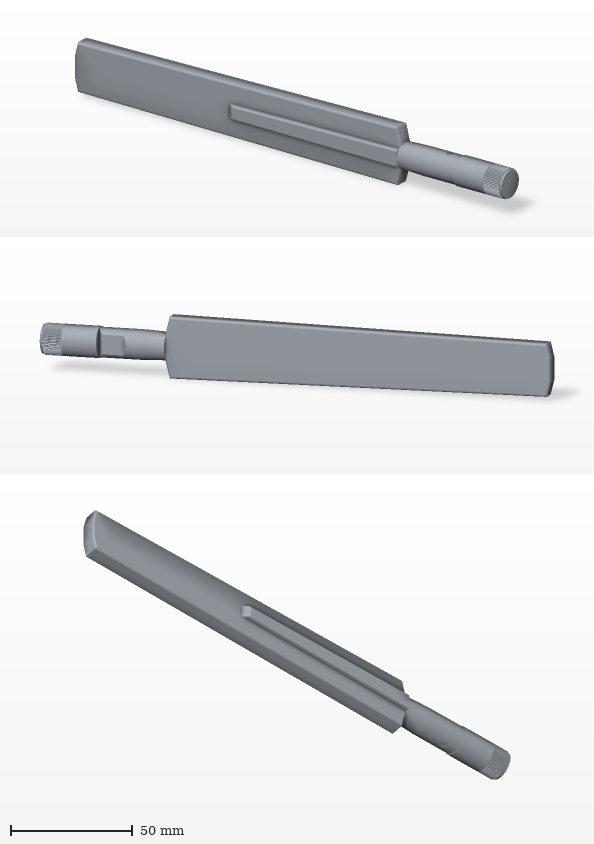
import cadquery as cq
import math

TOTAL_LENGTH = 218.4
BLADE_END_X = 165.5
SLEEVE_START_X = 165.0
CONE_END_X = 176.2
JOINT_X = 194.1

BLADE_THICKNESS = 7.2
BLADE_TIP_HALF = 11.1
BLADE_ROOT_HALF = 26.0 / 2
END_FLAT_HALF = 5.0
END_SLOPE = 0.25
BLADE_FILLET = 1.0

RIB_START_X = 78.6
RIB_FACE_Y = -6.0
RIB_TIP_HALF = 3.0
RIB_ROOT_HALF = 4.0
RIB_RAMP_LENGTH = 2.8
RIB_FILLET = 0.9

SLEEVE_START_RADIUS = 6.0
SLEEVE_RADIUS = 6.3
RELIEF_START_X = 181.2
RELIEF_RAMP = 1.7
RELIEF_Y = 4.8
PIVOT_X = 187.8
PIVOT_RADIUS = 1.42
PIVOT_RECESS_DEPTH = 0.5

BARREL_RADIUS = 13.3 / 2
KNURL_START_X = 209.2
KNURL_END_X = 217.3
END_RADIUS = 6.1
KNURL_TEETH = 64
KNURL_DEPTH = 0.33

OVERCUT = 2.2


def make_plate():
    """Tapered plate with three-facet ends and rounded long edges."""
    tip_setback = (BLADE_TIP_HALF - END_FLAT_HALF) * END_SLOPE
    root_setback = (BLADE_ROOT_HALF - END_FLAT_HALF) * END_SLOPE
    upper_edge = [
        (0, END_FLAT_HALF),
        (tip_setback, BLADE_TIP_HALF),
        (BLADE_END_X - root_setback, BLADE_ROOT_HALF),
        (BLADE_END_X, END_FLAT_HALF),
    ]
    lower_edge = [(x, -z) for x, z in reversed(upper_edge)]
    return (
        cq.Workplane("XZ")
        .polyline(upper_edge + lower_edge)
        .close()
        .extrude(BLADE_THICKNESS / 2, both=True)
        .faces("<Y or >Y")
        .edges()
        .fillet(BLADE_FILLET)
    )


def make_rib():
    """Stiffening rib from the middle of the plate to the sleeve, ramped at its free end."""
    plan = (
        cq.Workplane("XZ")
        .polyline(
            [
                (RIB_START_X, RIB_TIP_HALF),
                (SLEEVE_START_X, RIB_ROOT_HALF),
                (SLEEVE_START_X, -RIB_ROOT_HALF),
                (RIB_START_X, -RIB_TIP_HALF),
            ]
        )
        .close()
        .extrude(-RIB_FACE_Y)
    )
    side_profile = (
        cq.Workplane("XY")
        .polyline(
            [
                (RIB_START_X, 0),
                (RIB_START_X, -BLADE_THICKNESS / 2),
                (RIB_START_X + RIB_RAMP_LENGTH, RIB_FACE_Y),
                (SLEEVE_START_X, RIB_FACE_Y),
                (SLEEVE_START_X, 0),
            ]
        )
        .close()
        .extrude(RIB_ROOT_HALF, both=True)
    )
    return plan.intersect(side_profile).faces("<Y").edges("not >X").fillet(RIB_FILLET)


def make_sleeve():
    """Round sleeve, conical at first, relieved on the +Y side so that the joint can tilt."""
    sleeve = (
        cq.Workplane("XZ")
        .polyline(
            [
                (SLEEVE_START_X, 0),
                (SLEEVE_START_X, SLEEVE_START_RADIUS),
                (CONE_END_X, SLEEVE_RADIUS),
                (JOINT_X, SLEEVE_RADIUS),
                (JOINT_X, 0),
            ]
        )
        .close()
        .revolve(360, (0, 0, 0), (1, 0, 0))
    )
    return sleeve.cut(tilt_relief()).cut(pivot_recesses())


def tilt_relief():
    """Material removed on +Y: a ramp, a flat, then a round concentric with the pivot."""
    end_radius = JOINT_X - PIVOT_X
    flat_angle = math.asin(RELIEF_Y / end_radius)
    mid_angle = flat_angle / 2
    top_y = SLEEVE_RADIUS + OVERCUT
    return (
        cq.Workplane("XY")
        .moveTo(RELIEF_START_X, top_y)
        .lineTo(RELIEF_START_X, SLEEVE_RADIUS)
        .lineTo(RELIEF_START_X + RELIEF_RAMP, RELIEF_Y)
        .lineTo(PIVOT_X + end_radius * math.cos(flat_angle), RELIEF_Y)
        .threePointArc(
            (PIVOT_X + end_radius * math.cos(mid_angle), end_radius * math.sin(mid_angle)),
            (JOINT_X, 0),
        )
        .lineTo(JOINT_X, top_y)
        .close()
        .extrude(top_y, both=True)
    )


def pivot_recesses():
    """Flat-bottomed recesses at both ends of the pivot axis."""
    floor_z = SLEEVE_RADIUS - PIVOT_RECESS_DEPTH
    upper = (
        cq.Workplane("XY", origin=(PIVOT_X, 0, floor_z))
        .circle(PIVOT_RADIUS)
        .extrude(PIVOT_RECESS_DEPTH + OVERCUT)
    )
    return upper.union(upper.mirror("XY"))


def make_antenna():
    """Plate, rib and hinge sleeve as one moulded body."""
    return make_plate().union(make_rib()).union(make_sleeve())


def knurled_ring():
    """Disc around X whose rim carries straight V-shaped teeth."""
    rim = []
    for i in range(2 * KNURL_TEETH):
        radius = BARREL_RADIUS - KNURL_DEPTH * (i % 2)
        angle = math.pi * i / KNURL_TEETH
        rim.append((radius * math.cos(angle), radius * math.sin(angle)))
    return (
        cq.Workplane("YZ", origin=(KNURL_START_X, 0, 0))
        .polyline(rim)
        .close()
        .extrude(KNURL_END_X - KNURL_START_X)
    )


def make_connector():
    """Plain barrel followed by a knurled ring and a short plain end."""
    core = (
        cq.Workplane("XZ")
        .polyline(
            [
                (JOINT_X, 0),
                (JOINT_X, BARREL_RADIUS),
                (KNURL_START_X, BARREL_RADIUS),
                (KNURL_START_X, END_RADIUS),
                (TOTAL_LENGTH, END_RADIUS),
                (TOTAL_LENGTH, 0),
            ]
        )
        .close()
        .revolve(360, (0, 0, 0), (1, 0, 0))
    )
    return core.union(knurled_ring())


antenna = make_antenna()
connector = make_connector()

result = cq.Compound.makeCompound([antenna.solids().val(), connector.solids().val()])